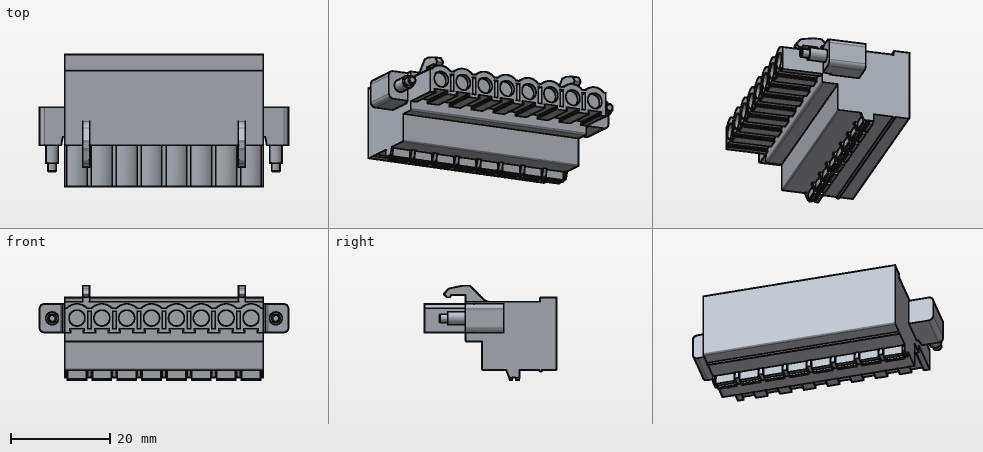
import cadquery as cq

pole_count = 8
pole_pitch = 5.0
row_width = pole_count * pole_pitch
half_row = row_width / 2
pole_centers = [(i - (pole_count - 1) / 2) * pole_pitch for i in range(pole_count)]

embed = 0.25

back_y = 26.6
front_y = 8.25
lower_front_y = 11.55
bottom_z = 2.0
step_z = 7.7
deck_z = 15.8
rail_z = 16.65
rail_front_y = 23.25
rail_round = 0.25
step_round = 0.35
lower_corner_round = 0.25
bead_y = 23.4
bead_radius = 0.3

socket_axis_z = 12.45
socket_outer_radius = 2.85
socket_shoulder_z = 14.45
socket_bottom_z = 9.55
socket_bore_diameter = 3.2
socket_bore_depth = 1.0
recess_top_z = 10.3
recess_half_width = 1.45
recess_mouth_half_width = 1.25
recess_lip_height = 0.35
slot_width = 0.7
slot_top_z = 13.85
slot_depth = 2.5

overall_width = 50.1
flange_back_y = 16.0
flange_bottom_z = socket_bottom_z
flange_top_z = socket_axis_z + socket_outer_radius
flange_round = 1.0
relief_front_gap = 0.65
relief_back_gap = 0.35
relief_depth = 1.7
relief_round = 0.2
screw_x = 22.5
screw_z = 12.4
screw_diameter = 2.55
screw_tip_y = 4.7
tip_diameter = 1.7
tip_end_y = 3.0
tip_chamfer = 0.2

hook_x = 15.7
hook_width = 1.4
hook_top_z = 19.0
hook_underside_z = 17.1
hook_root_y = 12.35
hook_tail_y = 13.2
hook_crest_back_y = 9.2
hook_crest_front_y = 7.55
hook_nose_y = 4.9
hook_nose_z = 18.45
hook_tip_y = 3.85
hook_tip_z = 17.3
hook_barb_z = 16.65
hook_barb_front_y = 4.6
hook_barb_back_y = 5.15
hook_throat_y = 5.35
hook_root_round = 1.75
hook_crest_back_round = 0.4
hook_crest_front_round = 1.5
hook_nose_round = 1.0
hook_tip_round = 0.15

clip_width = 3.85
clip_front_y = 17.05
clip_back_y = 19.05
clip_notch_front_y = 17.7
clip_notch_back_y = 18.35
foot_z = 0.5
clip_chamfer_height = 0.3
clip_chamfer_setback = 0.15
block_gap = 0.15
block_width = pole_pitch - clip_width - 2 * block_gap
block_root_y = 16.45
block_back_y = 19.15
block_toe_round = 0.15


def box(x_range, y_range, z_range):
    """Axis-aligned box between the given limits."""
    (x0, x1), (y0, y1), (z0, z1) = x_range, y_range, z_range
    return cq.Workplane("XY").box(x1 - x0, y1 - y0, z1 - z0, centered=False).translate((x0, y0, z0))


def side_extrusion(points, width, x_center=0.0):
    """Extrude a (Y, Z) outline along X, centred on x_center."""
    profile = cq.Workplane("YZ", origin=(x_center - width / 2, 0, 0)).polyline(points).close()
    return profile.extrude(width)


def round_edge(solid, point, radius):
    """Round the edge whose midpoint is the given point."""
    return solid.edges(cq.selectors.NearestToPointSelector(point)).fillet(radius)


def make_housing():
    """Stepped housing with a raised rear rail and a small bead underneath."""
    housing = side_extrusion(
        [
            (back_y, bottom_z),
            (lower_front_y, bottom_z),
            (lower_front_y, step_z),
            (front_y, step_z),
            (front_y, deck_z),
            (rail_front_y, deck_z),
            (rail_front_y, rail_z),
            (back_y, rail_z),
        ],
        row_width,
    )
    housing = round_edge(housing, (0, rail_front_y, rail_z), rail_round)
    housing = round_edge(housing, (0, front_y, step_z), step_round)
    housing = round_edge(housing, (0, lower_front_y, bottom_z), lower_corner_round)
    housing = round_edge(housing, (0, back_y, bottom_z), lower_corner_round)
    bead = cq.Workplane("YZ", origin=(-half_row, bead_y, bottom_z)).circle(bead_radius)
    return housing.union(bead.extrude(row_width))


def make_sockets():
    """Row of round-topped sockets with undercut recesses along the bottom."""
    lip_z = socket_bottom_z + recess_lip_height
    sockets = box((-half_row, half_row), (0, front_y), (socket_bottom_z, socket_shoulder_z))
    for x in pole_centers:
        barrel = cq.Workplane("XZ").center(x, socket_axis_z).circle(socket_outer_radius)
        upper_half = box(
            (x - pole_pitch / 2, x + pole_pitch / 2),
            (0, front_y),
            (socket_axis_z, socket_axis_z + socket_outer_radius),
        )
        sockets = sockets.union(barrel.extrude(-front_y).intersect(upper_half))
    for x in pole_centers:
        recess = (
            (recess_half_width, lip_z, recess_top_z),
            (recess_mouth_half_width, socket_bottom_z, lip_z),
        )
        for half_width, z0, z1 in recess:
            sockets = sockets.cut(box((x - half_width, x + half_width), (0, front_y), (z0, z1)))
    return sockets


def cut_socket_openings(body):
    """Bores, and slots between neighbouring poles."""
    for x in pole_centers:
        bore = cq.Workplane("XZ").center(x, socket_axis_z).circle(socket_bore_diameter / 2)
        body = body.cut(bore.extrude(-socket_bore_depth))
    for x in pole_centers[:-1]:
        slot_x = x + pole_pitch / 2
        slot_limits = (slot_x - slot_width / 2, slot_x + slot_width / 2)
        body = body.cut(box(slot_limits, (0, slot_depth), (recess_top_z, slot_top_z)))
    return body


def make_flange():
    """Flange with its screw on the +X end."""
    flange = box(
        (half_row, overall_width / 2), (front_y, flange_back_y), (flange_bottom_z, flange_top_z)
    )
    flange = flange.edges("|Y and >X").fillet(flange_round)
    relief_back_y = front_y + relief_depth
    relief = (
        cq.Workplane("XY")
        .polyline(
            [
                (half_row, front_y),
                (half_row + relief_front_gap, front_y),
                (half_row + relief_back_gap, relief_back_y),
                (half_row, relief_back_y),
            ]
        )
        .close()
        .extrude(flange_top_z)
    )
    flange = flange.cut(relief)
    relief_corner = (half_row + relief_front_gap, front_y, (flange_bottom_z + flange_top_z) / 2)
    flange = round_edge(flange, relief_corner, relief_round)
    shank = cq.Workplane("XZ", origin=(screw_x, front_y, screw_z)).circle(screw_diameter / 2)
    tip = cq.Workplane("XZ", origin=(screw_x, screw_tip_y, screw_z)).circle(tip_diameter / 2)
    tip = tip.extrude(screw_tip_y - tip_end_y).faces("<Y").chamfer(tip_chamfer)
    return flange.union(shank.extrude(front_y - screw_tip_y)).union(tip)


def make_hook(x):
    """Forward-reaching latch hook standing on the deck."""
    hook = side_extrusion(
        [
            (front_y, deck_z - embed),
            (hook_tail_y, deck_z - embed),
            (hook_tail_y, deck_z),
            (hook_root_y, deck_z),
            (hook_crest_back_y, hook_top_z),
            (hook_crest_front_y, hook_top_z),
            (hook_nose_y, hook_nose_z),
            (hook_tip_y, hook_tip_z),
            (hook_barb_front_y, hook_barb_z),
            (hook_barb_back_y, hook_barb_z),
            (hook_throat_y, hook_underside_z),
            (front_y, hook_underside_z),
        ],
        hook_width,
        x,
    )
    rounded_corners = [
        (hook_root_y, deck_z, hook_root_round),
        (hook_crest_back_y, hook_top_z, hook_crest_back_round),
        (hook_crest_front_y, hook_top_z, hook_crest_front_round),
        (hook_nose_y, hook_nose_z, hook_nose_round),
        (hook_tip_y, hook_tip_z, hook_tip_round),
    ]
    for y, z, radius in rounded_corners:
        hook = round_edge(hook, (x, y, z), radius)
    return hook


def make_clip(x):
    """Notched clip below one pole."""
    return side_extrusion(
        [
            (clip_back_y, bottom_z + embed),
            (clip_back_y, 0),
            (clip_notch_back_y, 0),
            (clip_notch_back_y, foot_z),
            (clip_notch_front_y, foot_z),
            (clip_notch_front_y, 0),
            (clip_front_y + clip_chamfer_setback, 0),
            (clip_front_y, clip_chamfer_height),
            (clip_front_y, bottom_z + embed),
        ],
        clip_width,
        x,
    )


def make_block(x):
    """Block with a sloped front, standing between two clips."""
    block = side_extrusion(
        [
            (block_root_y, bottom_z + embed),
            (block_back_y, bottom_z + embed),
            (block_back_y, foot_z),
            (clip_front_y, foot_z),
            (block_root_y, bottom_z),
        ],
        block_width,
        x,
    )
    return round_edge(block, (x, clip_front_y, foot_z), block_toe_round)


row_space = box((-half_row, half_row), (0, back_y), (0, rail_z))
body = make_housing()
for i in range(pole_count + 1):
    body = body.union(make_block(i * pole_pitch - half_row).intersect(row_space))

body = cut_socket_openings(body.union(make_sockets()))

flange = make_flange()
body = body.union(flange).union(flange.mirror("YZ"))

for x in (-hook_x, hook_x):
    body = body.union(make_hook(x))

for x in pole_centers:
    body = body.union(make_clip(x))

result = body.clean()